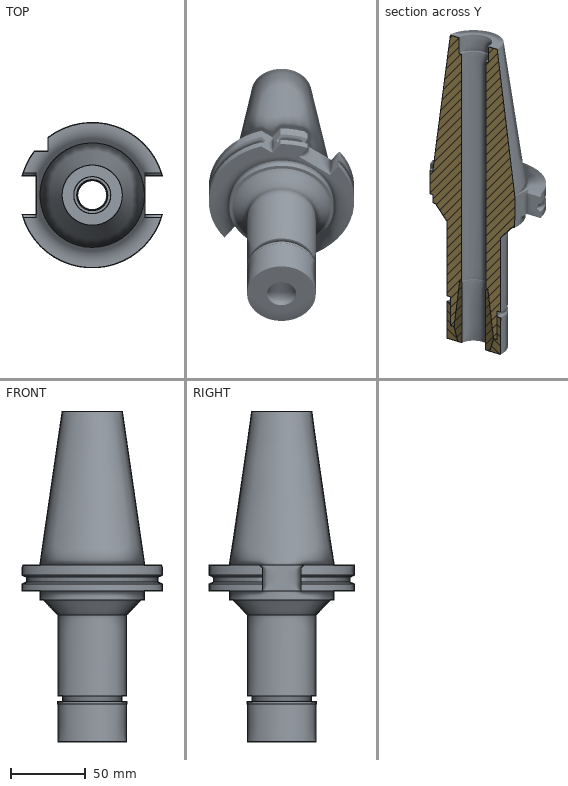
import cadquery as cq
import math

TOTAL_HEIGHT = 221.8
GAUGE_Z = 120.0
FLANGE_TOP_Z = 118.6
FLANGE_BOTTOM_Z = 101.3
COLLAR_BOTTOM_Z = 95.4
SHANK_TOP_Z = 85.2
SHANK_BOTTOM_Z = 30.8
NUT_TOP_Z = 27.0
NOSE_Z = 10.0

GAUGE_RADIUS = 35.0
TAPER_RATIO = 7 / 24
TAPER_TOP_RADIUS = GAUGE_RADIUS - (TOTAL_HEIGHT - GAUGE_Z) * TAPER_RATIO / 2
FLANGE_RADIUS = 48.8
SHOULDER_RADIUS = 32.8
SHANK_RADIUS = 23.0
NECK_RADIUS = 20.0

GROOVE_FLOOR_RADIUS = 46.0
GROOVE_FLOOR_WIDTH = 3.3
GROOVE_MOUTH_WIDTH = 6.0
GROOVE_Z = 108.9

SLOT_HALF_WIDTH = 12.9
SLOT_CHAMFER = 2.0
LEFT_SLOT_FLOOR = 37.7
RIGHT_SLOT_FLOOR = 35.5
NOTCH_X = -29.7
NOTCH_Y = 29.5

BORE_RADIUS = 10.5
COUNTERBORE_RADIUS = 12.5
COUNTERBORE_DEPTH = 11.5
COLLET_BORE_RADIUS = 9.8

COLLET_TOP_Z = 44.4
COLLET_HALF_ANGLE = 8.0
COLLET_NOSE_RADIUS = 16.6
COLLET_FACE_RADIUS = 13.3
COLLET_TAPER = math.tan(math.radians(COLLET_HALF_ANGLE))
COLLET_TOP_RADIUS = COLLET_NOSE_RADIUS - (COLLET_TOP_Z - NOSE_Z) * COLLET_TAPER

NUT_RADIUS = SHANK_RADIUS
NUT_RIM_STEP = 0.2
NUT_RIM_RADIUS = NUT_RADIUS + NUT_RIM_STEP
NUT_RIM_HEIGHT = 1.8


def revolve_profile(points):
    """Revolve a closed outline of (radius, z) points about the Z axis."""
    return cq.Workplane("XZ").polyline(points).close().revolve(360, (0, 0, 0), (0, 1, 0))


def make_holder_blank():
    """Taper, grooved flange, shank and nose, with the through bore and the collet seat."""
    counterbore_floor_z = TOTAL_HEIGHT - COUNTERBORE_DEPTH
    return revolve_profile([
        (BORE_RADIUS, COLLET_TOP_Z),
        (BORE_RADIUS, counterbore_floor_z),
        (COUNTERBORE_RADIUS, counterbore_floor_z),
        (COUNTERBORE_RADIUS, TOTAL_HEIGHT),
        (TAPER_TOP_RADIUS, TOTAL_HEIGHT),
        (GAUGE_RADIUS, GAUGE_Z),
        (GAUGE_RADIUS, FLANGE_TOP_Z),
        (FLANGE_RADIUS, FLANGE_TOP_Z),
        (FLANGE_RADIUS, GROOVE_Z + GROOVE_MOUTH_WIDTH / 2),
        (GROOVE_FLOOR_RADIUS, GROOVE_Z + GROOVE_FLOOR_WIDTH / 2),
        (GROOVE_FLOOR_RADIUS, GROOVE_Z - GROOVE_FLOOR_WIDTH / 2),
        (FLANGE_RADIUS, GROOVE_Z - GROOVE_MOUTH_WIDTH / 2),
        (FLANGE_RADIUS, FLANGE_BOTTOM_Z),
        (GAUGE_RADIUS, FLANGE_BOTTOM_Z),
        (GAUGE_RADIUS, COLLAR_BOTTOM_Z),
        (SHOULDER_RADIUS, COLLAR_BOTTOM_Z),
        (SHANK_RADIUS, SHANK_TOP_Z),
        (SHANK_RADIUS, SHANK_BOTTOM_Z),
        (NECK_RADIUS, SHANK_BOTTOM_Z),
        (NECK_RADIUS, NOSE_Z),
        (COLLET_NOSE_RADIUS, NOSE_Z),
        (COLLET_TOP_RADIUS, COLLET_TOP_Z),
    ])


def make_slot_cutter(direction, floor):
    """Drive slot open to the outside, its top edges chamfered; direction is +1 or -1 along X."""
    mouth_half_width = SLOT_HALF_WIDTH + SLOT_CHAMFER
    outline = [
        (-SLOT_HALF_WIDTH, FLANGE_BOTTOM_Z),
        (SLOT_HALF_WIDTH, FLANGE_BOTTOM_Z),
        (SLOT_HALF_WIDTH, FLANGE_TOP_Z - SLOT_CHAMFER),
        (mouth_half_width, FLANGE_TOP_Z),
        (-mouth_half_width, FLANGE_TOP_Z),
        (-SLOT_HALF_WIDTH, FLANGE_TOP_Z - SLOT_CHAMFER),
    ]
    return (
        cq.Workplane("YZ", origin=(direction * floor, 0, 0))
        .polyline(outline)
        .close()
        .extrude(direction * FLANGE_RADIUS)
    )


def make_notch_cutter():
    """Square-cornered notch through the flange at its -X, +Y side."""
    flange_thickness = FLANGE_TOP_Z - FLANGE_BOTTOM_Z
    return cq.Workplane("XY").box(
        FLANGE_RADIUS, FLANGE_RADIUS, flange_thickness, centered=False
    ).translate((NOTCH_X - FLANGE_RADIUS, NOTCH_Y, FLANGE_BOTTOM_Z))


def make_holder():
    """Holder blank with its two drive slots and the orientation notch cut."""
    return (
        make_holder_blank()
        .cut(make_slot_cutter(-1, LEFT_SLOT_FLOOR))
        .cut(make_slot_cutter(1, RIGHT_SLOT_FLOOR))
        .cut(make_notch_cutter())
    )


def make_nut():
    """Clamping nut over the holder's nose, with a thin raised rim, bearing on the collet's front cone."""
    return revolve_profile([
        (COLLET_FACE_RADIUS, 0),
        (NUT_RADIUS, 0),
        (NUT_RADIUS, NUT_TOP_Z - NUT_RIM_HEIGHT),
        (NUT_RIM_RADIUS, NUT_TOP_Z - NUT_RIM_HEIGHT),
        (NUT_RIM_RADIUS, NUT_TOP_Z),
        (NECK_RADIUS, NUT_TOP_Z),
        (NECK_RADIUS, NOSE_Z),
        (COLLET_NOSE_RADIUS, NOSE_Z),
    ])


def make_collet():
    """Double-cone collet with a straight bore."""
    return revolve_profile([
        (COLLET_BORE_RADIUS, 0),
        (COLLET_FACE_RADIUS, 0),
        (COLLET_NOSE_RADIUS, NOSE_Z),
        (COLLET_TOP_RADIUS, COLLET_TOP_Z),
        (COLLET_BORE_RADIUS, COLLET_TOP_Z),
    ])


holder = make_holder()
nut = make_nut()
collet = make_collet()

result = cq.Compound.makeCompound([holder.val(), nut.val(), collet.val()])